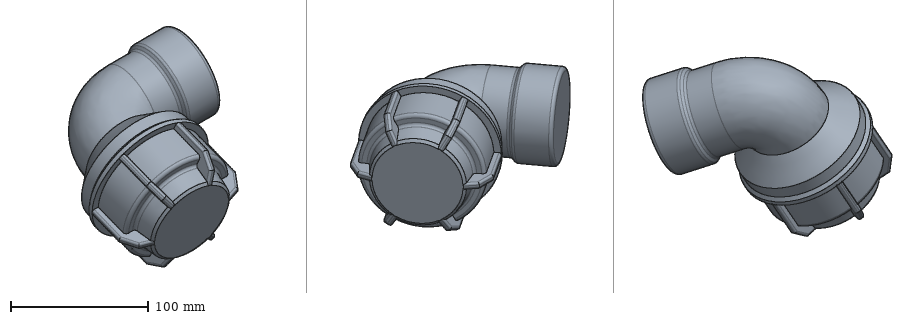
import cadquery as cq


total_length = 151.8
total_width = 139.0

tube_diameter = 66.3
socket_diameter = 73.6
bend_radius = 31.1
socket_length = 29.9
socket_round = 3.0

collar_diameter = 100.8
collar_end = 58.5
flange_diameter = 106.0
flange_end = 64.8

nut_radius = 47.5
nut_shoulder = 97.8
shoulder_round = 2.9
neck_base_radius = 38.7
neck_tip_radius = 35.7
neck_base_round = 2.6
neck_tip_chamfer = 2.0

rib_count = 6
rib_thickness = 5.3
rib_round = 1.8
rib_bend = 111.3
rib_bend_radius = 45.1
rib_tip_radius = 34.0
rib_root_radius = 30.4

tube_radius = tube_diameter / 2
socket_radius = socket_diameter / 2
collar_radius = collar_diameter / 2
flange_radius = flange_diameter / 2
nut_end = total_length - socket_radius
socket_end = total_width - flange_radius


def make_bend():
    """Quarter bend; the tube section is cut off at the bend axis, which it reaches past."""
    half_chord = (tube_radius**2 - bend_radius**2) ** 0.5
    return (
        cq.Workplane("XZ", origin=(0, bend_radius, 0))
        .moveTo(bend_radius, half_chord)
        .threePointArc((-tube_radius, 0), (bend_radius, -half_chord))
        .close()
        .revolve(90, (bend_radius, -1.5), (bend_radius, 1.5))
    )


def make_socket():
    """Straight tube that widens through a 45 degree step into the rounded socket."""
    step = socket_radius - tube_radius
    socket_start = socket_end - socket_length
    return (
        cq.Workplane("XY")
        .moveTo(0, bend_radius)
        .lineTo(tube_radius, bend_radius)
        .lineTo(tube_radius, socket_start - step)
        .lineTo(socket_radius, socket_start)
        .lineTo(socket_radius, socket_end)
        .lineTo(0, socket_end)
        .close()
        .revolve(360, (0, 0), (0, 1))
        .edges("%CIRCLE and (not <Y)")
        .fillet(socket_round)
    )


def make_collar():
    """45 degree cone, cylindrical band and chamfered flange."""
    cone_end = bend_radius + collar_radius - tube_radius
    flange_start = collar_end + flange_radius - collar_radius
    return (
        cq.Workplane("XY")
        .moveTo(bend_radius, 0)
        .lineTo(bend_radius, tube_radius)
        .lineTo(cone_end, collar_radius)
        .lineTo(collar_end, collar_radius)
        .lineTo(flange_start, flange_radius)
        .lineTo(flange_end, flange_radius)
        .lineTo(flange_end, 0)
        .close()
        .revolve(360, (0, 0), (1, 0))
    )


def make_nut_body():
    """Cylinder with a rounded shoulder, then a tapered neck with a chamfered rim."""
    barrel = (
        cq.Workplane("YZ", origin=(flange_end, 0, 0))
        .circle(nut_radius)
        .extrude(nut_shoulder - flange_end)
        .edges(">X")
        .fillet(shoulder_round)
    )
    neck = (
        cq.Workplane("XY")
        .moveTo(nut_shoulder, 0)
        .lineTo(nut_shoulder, neck_base_radius)
        .lineTo(nut_end, neck_tip_radius)
        .lineTo(nut_end, 0)
        .close()
        .revolve(360, (0, 0), (1, 0))
        .edges(">X")
        .chamfer(neck_tip_chamfer)
    )
    return barrel.union(neck).faces("%CONE").edges("<X").fillet(neck_base_round)


def make_rib():
    """One grip rib on the +Y side of the nut, rounded along its outer edges."""
    return (
        cq.Workplane("XY")
        .moveTo(flange_end, rib_root_radius)
        .lineTo(flange_end, flange_radius)
        .lineTo(nut_shoulder, flange_radius)
        .lineTo(rib_bend, rib_bend_radius)
        .lineTo(nut_end, rib_tip_radius)
        .lineTo(nut_end, rib_root_radius)
        .close()
        .extrude(rib_thickness / 2, both=True)
        .faces("|Z")
        .edges("not (<X or >X or <Y)")
        .fillet(rib_round)
    )


result = make_bend().union(make_socket()).union(make_collar()).union(make_nut_body())
rib = make_rib()
for index in range(rib_count):
    result = result.union(rib.rotate((0, 0, 0), (1, 0, 0), index * 360 / rib_count))